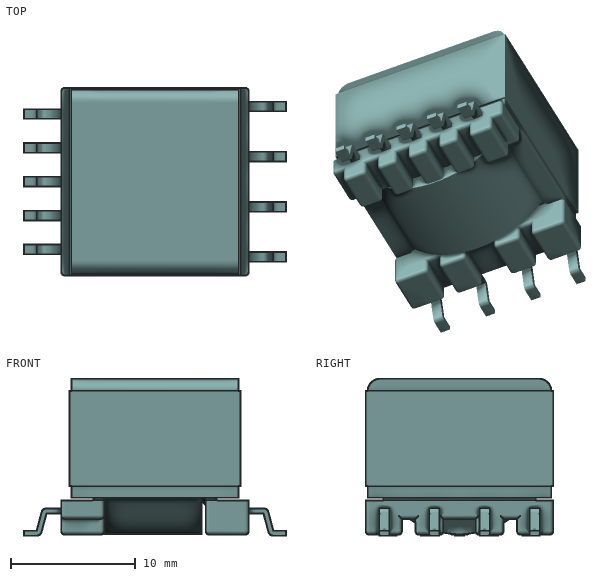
import cadquery as cq
import math

wrap_side = 15.0
tape_thickness = 0.15
tape_length_x = 13.69
tape_bottom_z = 3.97
tape_top_z = 11.59
core_bottom_z = 3.05
core_top_z = 12.57
core_edge_radius = 1.0
core_length_x = tape_length_x - 2 * tape_thickness
core_depth_y = wrap_side - 2 * tape_thickness

rail_outer_x = wrap_side / 2
rail_inner_x = 4.05
rail_bottom_z = 0.08
rail_top_z = 2.83
rail_edge_radius = 0.3
notch_ceiling_z = 1.35
notch_width = 1.07
middle_notch_width = 2.56
end_block_half_width = 1.13
rail_width = rail_outer_x - rail_inner_x
rail_middle_x = (rail_outer_x + rail_inner_x) / 2
rail_end_y = wrap_side / 2

pedestal_half_length = 6.1
pedestal_top_x = 4.8
gusset_depth = 0.59
pedestal_rise = core_bottom_z - rail_top_z
pedestal_base_x = pedestal_top_x + pedestal_rise

winding_radius = 7.14
winding_bottom_z = 0.13
winding_end_x = 3.74
winding_axis_z = winding_bottom_z + winding_radius

overall_length = 21.0
lead_thickness = 0.42
lead_width = 0.8
lead_underside_z = 1.78
lead_bend_x = 8.67
lead_lean = math.radians(15)
left_lead_count = 5
left_lead_pitch = 2.7
right_lead_count = 4
right_lead_pitch = 4.0
lead_tip_x = overall_length / 2


def centred_positions(count, pitch):
    return [(i - (count - 1) / 2) * pitch for i in range(count)]


left_lead_ys = centred_positions(left_lead_count, left_lead_pitch)
right_lead_ys = centred_positions(right_lead_count, right_lead_pitch)


def block(x_range, y_range, z_range):
    """Axis-aligned box between the given limits."""
    low, high = zip(x_range, y_range, z_range)
    size = [b - a for a, b in zip(low, high)]
    return cq.Workplane("XY").box(*size, centered=False).translate(low)


def extrude_along_y(outline, length):
    """Extrude an XZ outline symmetrically about Y = 0."""
    return outline.extrude(length / 2, both=True)


def keep_below_core(body):
    """Part of a body that lies below the flat underside of the core."""
    below_core = block(
        (-rail_outer_x, rail_outer_x),
        (-rail_end_y, rail_end_y),
        (0, core_bottom_z),
    )
    return body.intersect(below_core)


def make_core():
    """Core block with two rounded top edges, fused with its proud band of tape."""
    core = block(
        (-core_length_x / 2, core_length_x / 2),
        (-core_depth_y / 2, core_depth_y / 2),
        (core_bottom_z, core_top_z),
    )
    core = core.edges("|X and >Z").fillet(core_edge_radius)
    tape = block(
        (-tape_length_x / 2, tape_length_x / 2),
        (-wrap_side / 2, wrap_side / 2),
        (tape_bottom_z, tape_top_z),
    )
    return core.union(tape)


def is_rounded_rail_edge(edge):
    """True for outside edges of a rail below its sharp top rim."""
    box = edge.BoundingBox()
    tolerance = 0.002
    on_top = box.zmin > rail_top_z - tolerance
    along_x = box.xlen > rail_width - tolerance
    at_ceiling = abs(edge.Center().z - notch_ceiling_z) < tolerance
    at_rail_end = abs(edge.Center().y) > rail_end_y - tolerance
    inside_corner = along_x and at_ceiling and not at_rail_end
    return not on_top and not inside_corner


def notch_range(centre_y, width):
    return (centre_y - width / 2, centre_y + width / 2)


def make_rail(notch_ranges):
    """Rail on the +X side with notches through its lower part."""
    x_range = (rail_inner_x, rail_outer_x)
    rail = block(x_range, (-rail_end_y, rail_end_y), (rail_bottom_z, rail_top_z))
    for y_range in notch_ranges:
        rail = rail.cut(block(x_range, y_range, (rail_bottom_z, notch_ceiling_z)))
    rounded_edges = [e for e in rail.edges().vals() if is_rounded_rail_edge(e)]
    return rail.newObject(rounded_edges).fillet(rail_edge_radius)


def make_pedestal():
    """Low strip from the +X rail up to the core, with a 45 degree conical gusset inside it."""
    strip = extrude_along_y(
        cq.Workplane("XZ").polyline([
            (rail_inner_x, rail_top_z),
            (rail_inner_x, core_bottom_z),
            (pedestal_top_x, core_bottom_z),
            (pedestal_base_x, rail_top_z),
        ]).close(),
        2 * pedestal_half_length,
    )
    strip = strip.edges("|Z").fillet(rail_edge_radius)
    cone_start_radius = winding_axis_z - core_bottom_z
    cone_length = gusset_depth + rail_edge_radius
    cone = cq.Solid.makeCone(
        cone_start_radius,
        cone_start_radius + cone_length,
        cone_length,
        pnt=cq.Vector(rail_inner_x - gusset_depth, 0, winding_axis_z),
        dir=cq.Vector(1, 0, 0),
    )
    gusset = keep_below_core(cq.Workplane(obj=cone))
    return strip.union(gusset)


def make_winding():
    """Lower part of a cylinder along X, cut flat where it meets the core."""
    length = rail_inner_x + winding_end_x
    cylinder = (
        cq.Workplane("YZ", origin=(-rail_inner_x, 0, 0))
        .center(0, winding_axis_z)
        .circle(winding_radius)
        .extrude(length)
    )
    return keep_below_core(cylinder)


def make_lead(y):
    """Lead on the +X side, rounded on the outside of both bends."""
    leg_run = lead_thickness * math.cos(lead_lean)
    leg_rise = lead_thickness * math.sin(lead_lean)
    drop = lead_underside_z - lead_thickness
    foot_bend_x = lead_bend_x + (lead_thickness + drop * math.sin(lead_lean)) / math.cos(lead_lean)
    half_angle = math.pi / 4 + lead_lean / 2
    arc_x = lead_thickness * math.cos(half_angle)
    arc_z = lead_thickness * math.sin(half_angle)
    lead_top_z = lead_underside_z + lead_thickness
    outline = (
        cq.Workplane("XZ")
        .moveTo(rail_middle_x, lead_underside_z)
        .lineTo(lead_bend_x, lead_underside_z)
        .lineTo(foot_bend_x - leg_run, lead_thickness - leg_rise)
        .threePointArc((foot_bend_x - arc_x, lead_thickness - arc_z), (foot_bend_x, 0))
        .lineTo(lead_tip_x, 0)
        .lineTo(lead_tip_x, lead_thickness)
        .lineTo(foot_bend_x, lead_thickness)
        .lineTo(lead_bend_x + leg_run, lead_underside_z + leg_rise)
        .threePointArc((lead_bend_x + arc_x, lead_underside_z + arc_z), (lead_bend_x, lead_top_z))
        .lineTo(rail_middle_x, lead_top_z)
        .close()
    )
    return extrude_along_y(outline, lead_width).translate((0, y, 0))


def make_bobbin_side(lead_ys, notch_ranges):
    """Rail, pedestal and leads of the +X side."""
    side = make_rail(notch_ranges).union(make_pedestal())
    for y in lead_ys:
        side = side.union(make_lead(y))
    return side


def make_bobbin():
    """Both lead sides joined by the winding."""
    gap_centres = centred_positions(left_lead_count - 1, left_lead_pitch)
    end_block_limit = left_lead_ys[-1] + end_block_half_width
    left_notches = [notch_range(y, notch_width) for y in gap_centres]
    left_notches.append((-rail_end_y, -end_block_limit))
    left_notches.append((end_block_limit, rail_end_y))

    right_notches = [
        notch_range(gap_centres[0], notch_width),
        notch_range(0, middle_notch_width),
        notch_range(gap_centres[-1], notch_width),
    ]
    left_side = make_bobbin_side(left_lead_ys, left_notches).mirror("YZ")
    right_side = make_bobbin_side(right_lead_ys, right_notches)
    return make_winding().union(left_side).union(right_side)


core = make_core()
bobbin = make_bobbin()

result = cq.Compound.makeCompound([core.val(), bobbin.val()])